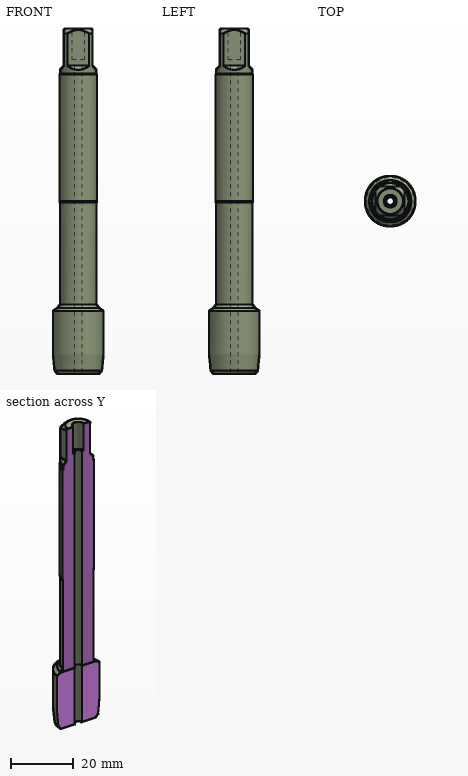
import cadquery as cq

total_length = 110.0

head_diameter = 16.2
head_tip_diameter = 13.2
lead_end_diameter = 15.2
lead_start_height = 6.2
tip_chamfer_height = 1.1
shoulder_base_height = 20.0
split_height = 21.0
split_diameter = 13.4

neck_diameter = 11.7
shoulder_top_height = 22.1
shank_diameter = 12.0
shank_bottom_height = 54.6
shank_bottom_chamfer_height = 0.4
shank_top_height = 95.6
shank_top_chamfer_height = 0.2

drive_diameter = 11.5
drive_width = 9.2
drive_chamfer = 1.6
flat_bottom_height = 98.1
flat_runout_drop = 1.3
flat_depth = (drive_diameter - drive_width) / 2
cutter_half_width = drive_diameter

bore_diameter = 2.5
counterbore_diameter = 4.0
counterbore_depth = 9.9


def revolve_profile(steps):
    """Turn a solid about Z from (diameter, height) pairs, listed upwards."""
    points = [(0, steps[0][1])]
    points += [(diameter / 2, height) for diameter, height in steps]
    points += [(0, steps[-1][1])]
    return cq.Workplane("XZ").polyline(points).close().revolve(360, (0, 0), (0, 1))


def drive_flat_cutter():
    """Material removed for one flat, ending below in a sloping run-out."""
    inner = drive_width / 2
    outer = inner + 2 * flat_depth
    return (
        cq.Workplane("XZ")
        .polyline([
            (inner, total_length),
            (inner, flat_bottom_height),
            (outer, flat_bottom_height - 2 * flat_runout_drop),
            (outer, total_length),
        ])
        .close()
        .extrude(cutter_half_width, both=True)
    )


def coolant_bore():
    """Full-length bore, widened at the drive end."""
    bore = cq.Workplane("XY").circle(bore_diameter / 2).extrude(total_length)
    counterbore = (
        cq.Workplane("XY", origin=(0, 0, total_length - counterbore_depth))
        .circle(counterbore_diameter / 2)
        .extrude(counterbore_depth)
    )
    return bore.union(counterbore)


def make_cutting_head():
    """Cutting head with a tapered lead and the lower part of the shoulder cone."""
    head = revolve_profile([
        (head_tip_diameter, 0),
        (lead_end_diameter, tip_chamfer_height),
        (head_diameter, lead_start_height),
        (head_diameter, shoulder_base_height),
        (split_diameter, split_height),
    ])
    return head.cut(coolant_bore())


def make_shank():
    """Neck, clamping shank and square drive, standing on the cutting head."""
    shank = revolve_profile([
        (split_diameter, split_height),
        (neck_diameter, shoulder_top_height),
        (neck_diameter, shank_bottom_height),
        (shank_diameter, shank_bottom_height + shank_bottom_chamfer_height),
        (shank_diameter, shank_top_height - shank_top_chamfer_height),
        (drive_diameter, shank_top_height),
        (drive_diameter, total_length - drive_chamfer),
        (drive_diameter - 2 * drive_chamfer, total_length),
    ])
    for angle in (0, 90, 180, 270):
        shank = shank.cut(drive_flat_cutter().rotate((0, 0, 0), (0, 0, 1), angle))
    return shank.cut(coolant_bore())


cutting_head = make_cutting_head()
shank = make_shank()

result = cq.Compound.makeCompound([cutting_head.val(), shank.val()])